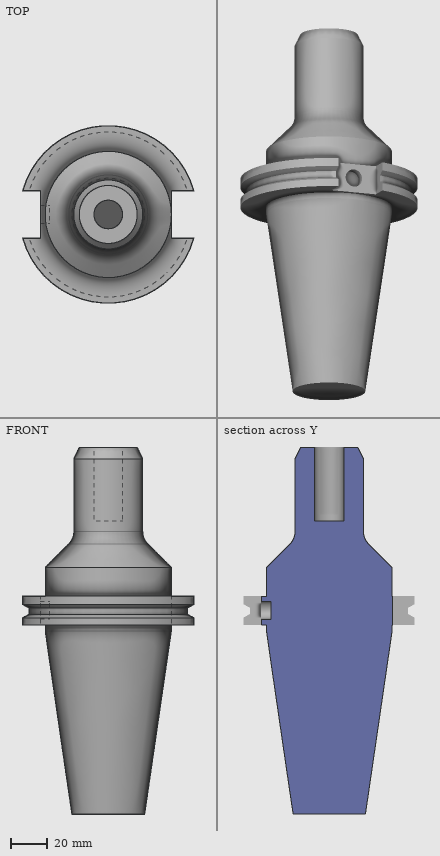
import cadquery as cq
import math

total_height = 203.2
gauge_z = 101.5
flange_bottom_z = 104.9
flange_top_z = 121.0
shoulder_z = 136.8
tip_chamfer_height = 6.3

gauge_radius = 35.0
taper_slope = 7 / 48
small_end_radius = gauge_radius - gauge_z * taper_slope
flange_radius = 49.2
shank_radius = 19.0
tip_radius = 16.0
neck_fillet_radius = 9.5

groove_radius = 45.7
groove_z = 112.5
groove_floor_width = 3.5
groove_wall_angle = 30.0

slot_width = 26.2
left_slot_floor = 37.5
right_slot_floor = 35.2

bore_diameter = 15.8
bore_depth = 40.6
slot_hole_z = 113.0
slot_hole_diameter = 9.8
slot_hole_depth = 5.0


def make_body():
    """Revolve the taper, flange, shoulder and shank as one profile."""
    groove_floor_half = groove_floor_width / 2
    wall_rise = (flange_radius - groove_radius) * math.tan(math.radians(groove_wall_angle))
    groove_mouth_half = groove_floor_half + wall_rise

    corner_z = shoulder_z + gauge_radius - shank_radius
    tangent_length = neck_fillet_radius * math.tan(math.radians(22.5))
    fillet_top_z = corner_z + tangent_length
    fillet_center_r = shank_radius + neck_fillet_radius

    def fillet_point(degrees):
        angle = math.radians(degrees)
        return (
            fillet_center_r - neck_fillet_radius * math.cos(angle),
            fillet_top_z - neck_fillet_radius * math.sin(angle),
        )

    return (
        cq.Workplane("XZ")
        .lineTo(small_end_radius, 0)
        .lineTo(gauge_radius, gauge_z)
        .lineTo(gauge_radius, flange_bottom_z)
        .lineTo(flange_radius, flange_bottom_z)
        .lineTo(flange_radius, groove_z - groove_mouth_half)
        .lineTo(groove_radius, groove_z - groove_floor_half)
        .lineTo(groove_radius, groove_z + groove_floor_half)
        .lineTo(flange_radius, groove_z + groove_mouth_half)
        .lineTo(flange_radius, flange_top_z)
        .lineTo(gauge_radius, flange_top_z)
        .lineTo(gauge_radius, shoulder_z)
        .lineTo(*fillet_point(45))
        .threePointArc(fillet_point(22.5), fillet_point(0))
        .lineTo(shank_radius, total_height - tip_chamfer_height)
        .lineTo(tip_radius, total_height)
        .lineTo(0, total_height)
        .close()
        .revolve(360, (0, 0), (0, 1))
    )


def make_slot(side, floor_distance):
    """Block that cuts a drive slot through the flange; side is -1 or +1 along X."""
    length = flange_radius
    return cq.Workplane("XY").box(
        length, slot_width, flange_top_z - flange_bottom_z, centered=(True, True, False)
    ).translate((side * (floor_distance + length / 2), 0, flange_bottom_z))


def make_bore():
    """Blind bore in the tip of the shank."""
    return (
        cq.Workplane("XY", origin=(0, 0, total_height - bore_depth))
        .circle(bore_diameter / 2)
        .extrude(bore_depth)
    )


def make_slot_hole():
    """Blind radial hole in the floor of the -X drive slot."""
    return (
        cq.Workplane("YZ", origin=(-left_slot_floor, 0, slot_hole_z))
        .circle(slot_hole_diameter / 2)
        .extrude(slot_hole_depth)
    )


result = (
    make_body()
    .cut(make_slot(-1, left_slot_floor))
    .cut(make_slot(1, right_slot_floor))
    .cut(make_bore())
    .cut(make_slot_hole())
)